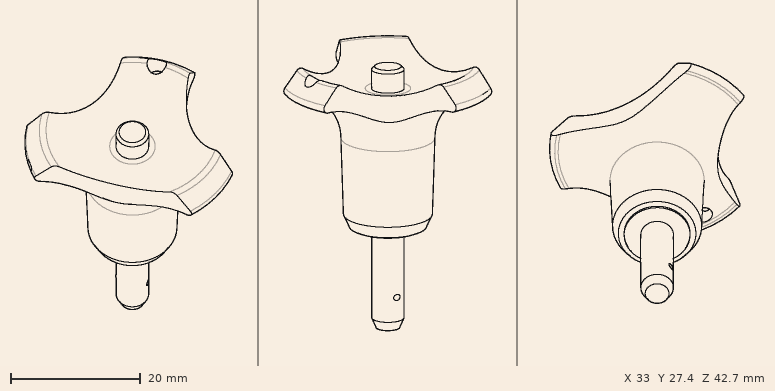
import cadquery as cq
import math

shank_radius = 2.5
tip_radius = 1.85
tip_height = 1.6
ball_radius = 1.0
ball_height = 5.45
ball_reach = 2.65

collar_radius = 5.1
collar_bottom = 15.95
body_bottom = 16.35
body_bottom_radius = 5.98
body_chamfer_top = 18.3
body_chamfer_radius = 6.87
body_top = 30.65
body_top_radius = 7.25
flare_radius = 8.0

rim_underside = body_top + flare_radius
rim_corner_radius = 17.5
rim_angle = 50.0
rim_lower_fillet = 0.8
rim_upper_fillet = 0.75
dish_floor = 38.6
dish_floor_radius = 3.5
dish_radius = 23.05

button_top = 42.15
button_chamfer_height = 0.45
button_chamfer_width = 0.45

side_scallop_radius = 15.65
side_scallop_x = 21.05
side_scallop_y = 13.5
front_scallop_radius = 48.9
front_scallop_depth_y = -9.15
hole_radius = 1.5
hole_y = 13.6


def dish_z(radius):
    """Height of the spherical dish at a distance from the axis."""
    center_z = dish_floor + math.sqrt(dish_radius**2 - dish_floor_radius**2)
    return center_z - math.sqrt(dish_radius**2 - radius**2)


def rim_peak():
    """Sharp point where the rim cone meets the dish sphere."""
    center_z = dish_z(0) + dish_radius
    drop = center_z - rim_underside
    angle = math.radians(rim_angle)
    half_b = rim_corner_radius * math.cos(angle) + drop * math.sin(angle)
    c = rim_corner_radius**2 + drop**2 - dish_radius**2
    t = half_b - math.sqrt(half_b**2 - c)
    return rim_corner_radius - t * math.cos(angle), rim_underside + t * math.sin(angle)


def make_grip():
    """Revolved body, flare and dished head."""
    peak_radius, peak_z = rim_peak()
    mid_radius = (peak_radius + dish_floor_radius) / 2
    flare_end = body_top_radius + flare_radius
    flare_mid = flare_radius * math.sqrt(0.5)
    grip = (
        cq.Workplane("XZ")
        .moveTo(0, collar_bottom)
        .lineTo(collar_radius, collar_bottom)
        .lineTo(collar_radius, body_bottom)
        .lineTo(body_bottom_radius, body_bottom)
        .lineTo(body_chamfer_radius, body_chamfer_top)
        .lineTo(body_top_radius, body_top)
        .threePointArc((flare_end - flare_mid, body_top + flare_mid), (flare_end, rim_underside))
        .lineTo(rim_corner_radius, rim_underside)
        .lineTo(peak_radius, peak_z)
        .threePointArc((mid_radius, dish_z(mid_radius)), (dish_floor_radius, dish_floor))
        .lineTo(0, dish_floor)
        .close()
        .revolve(360, (0, 0, 0), (0, 1, 0))
    )
    rim_margin = 0.05

    def ring_edge(radius, z):
        reach = radius + rim_margin
        return cq.selectors.BoxSelector(
            (-reach, -reach, z - rim_margin), (reach, reach, z + rim_margin), boundingbox=True
        )

    grip = grip.edges(ring_edge(peak_radius, peak_z)).fillet(rim_upper_fillet)
    lower_edge = ring_edge(rim_corner_radius, rim_underside) - ring_edge(flare_end, rim_underside)
    return grip.edges(lower_edge).fillet(rim_lower_fillet)


def upright_cylinder(x, y, radius):
    """Cutting cylinder tall enough to pass right through the head."""
    cutter_height = 2 * button_top
    return cq.Workplane("XY").center(x, y).circle(radius).extrude(cutter_height)


def make_pin():
    """Shank with tapered tip, running up through the grip to the push button."""
    return (
        cq.Workplane("XZ")
        .lineTo(tip_radius, 0)
        .lineTo(shank_radius, tip_height)
        .lineTo(shank_radius, button_top - button_chamfer_height)
        .lineTo(shank_radius - button_chamfer_width, button_top)
        .lineTo(0, button_top)
        .close()
        .revolve(360, (0, 0, 0), (0, 1, 0))
    )


grip = make_grip()
for side in (-1, 1):
    grip = grip.cut(upright_cylinder(side * side_scallop_x, side_scallop_y, side_scallop_radius))
grip = grip.cut(upright_cylinder(0, front_scallop_depth_y - front_scallop_radius, front_scallop_radius))
grip = grip.cut(upright_cylinder(0, hole_y, hole_radius))

result = grip.union(make_pin())
for side in (-1, 1):
    ball = cq.Workplane("XY").sphere(ball_radius)
    result = result.union(ball.translate((side * (ball_reach - ball_radius), 0, ball_height)))